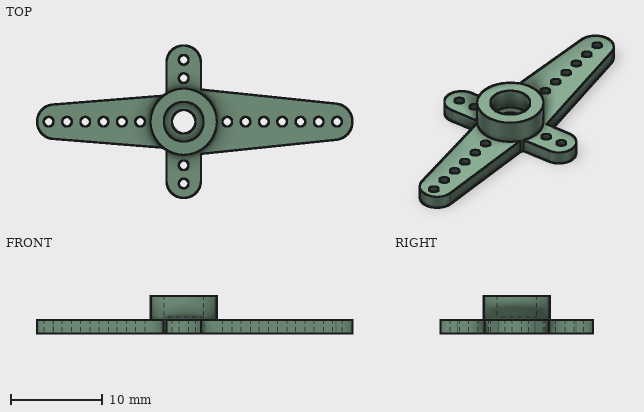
import cadquery as cq
import math

plate_thickness = 1.52
total_height = 4.15
hub_radius = 3.62
socket_radius = 2.17
socket_depth = 2.3
screw_hole_radius = 1.28

left_reach = 16.05
left_tip_radius = 1.9
left_root_half_width = 3.05
right_reach = 34.5 - left_reach
right_tip_radius = 2.0
right_root_half_width = 3.73

cross_length = 16.7
cross_width = 3.8

link_hole_diameter = 1.05
first_hole_distance = 4.75
hole_pitch = 2.0
left_hole_count = 6
right_hole_count = 7
cross_hole_count = 2


def tapered_arm(direction, reach, tip_radius, root_half_width):
    """Arm along X (direction +1 or -1) whose straight sides run tangent into its round tip."""
    tip_center = reach - tip_radius
    root_to_center = math.hypot(tip_center, root_half_width)
    root_angle = math.pi - math.atan2(root_half_width, tip_center)
    side_normal = root_angle - math.acos(tip_radius / root_to_center)
    tangent_x = direction * (tip_center + tip_radius * math.cos(side_normal))
    tangent_y = tip_radius * math.sin(side_normal)
    return (
        cq.Workplane("XY")
        .moveTo(0, -root_half_width)
        .lineTo(tangent_x, -tangent_y)
        .threePointArc((direction * reach, 0), (tangent_x, tangent_y))
        .lineTo(0, root_half_width)
        .close()
        .extrude(plate_thickness)
    )


def hole_row(angle, count):
    """Centers of a row of holes running outward from the hub at an angle in degrees."""
    distances = [first_hole_distance + i * hole_pitch for i in range(count)]
    direction_x = math.cos(math.radians(angle))
    direction_y = math.sin(math.radians(angle))
    return [(d * direction_x, d * direction_y) for d in distances]


left_arm = tapered_arm(-1, left_reach, left_tip_radius, left_root_half_width)
right_arm = tapered_arm(1, right_reach, right_tip_radius, right_root_half_width)
cross_arms = cq.Workplane("XY").slot2D(cross_length, cross_width, 90).extrude(plate_thickness)

hub = cq.Workplane("XY").circle(hub_radius).extrude(total_height)
body = left_arm.union(right_arm).union(cross_arms).union(hub)

socket_floor = total_height - socket_depth
socket = cq.Workplane("XY").workplane(offset=socket_floor).circle(socket_radius).extrude(socket_depth)
screw_hole = cq.Workplane("XY").circle(screw_hole_radius).extrude(total_height)
body = body.cut(socket).cut(screw_hole)

link_holes = (
    hole_row(180, left_hole_count)
    + hole_row(0, right_hole_count)
    + hole_row(90, cross_hole_count)
    + hole_row(270, cross_hole_count)
)
link_hole_cutters = (
    cq.Workplane("XY").pushPoints(link_holes).circle(link_hole_diameter / 2).extrude(plate_thickness)
)
result = body.cut(link_hole_cutters)